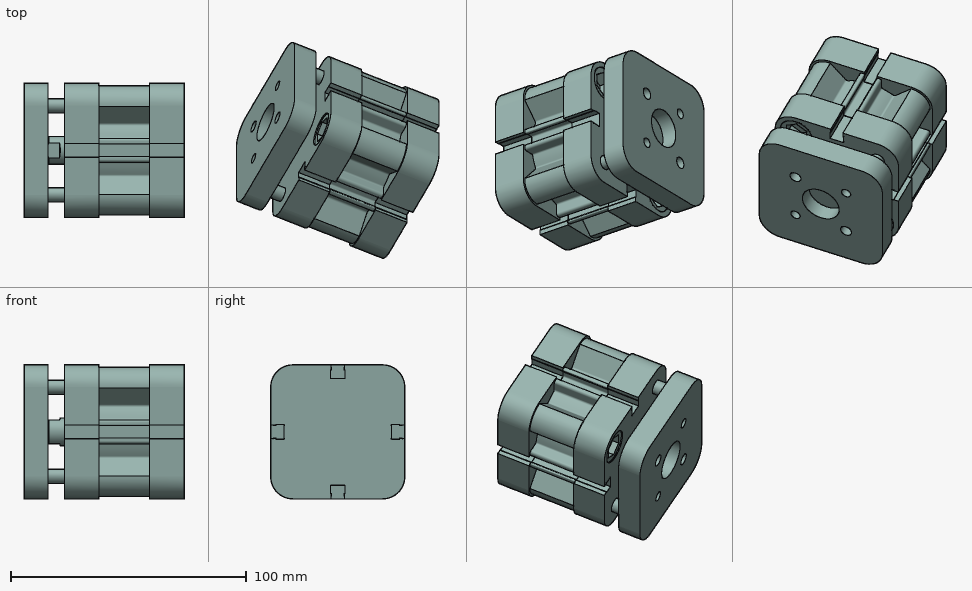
import cadquery as cq
import math


length = 68.0
side = 57.0
half_side = side / 2
side_count = 4
corner_radius = 9.5

plate_thickness = 10.2
front_cap_start = 17.1
tube_start = 31.7
tube_end = 53.1

cap_slot_floor = 22.7
lip_depth = 2.25
cap_mouth_width = 5.7
cap_slot_width = 6.2
tube_slot_floor = 22.45
tube_mouth_width = 5.3
tube_slot_width = 6.3
slot_floor_radius = 0.7

core_radius = 22.6
barrel_centre = 19.0
barrel_radius = 8.5
web_half_width = 6.2
web_fillet = 1.0
rib_width = 10.2
rib_corner_radius = 1.15
rib_base_fillet = 0.8
lip_edge_radius = 0.5
tube_reach = barrel_centre + barrel_radius

piston_diameter = 12.0
flat_across = 10.2
rod_chamfer = 0.3
flat_end = 15.4
flat_shoulder = 0.35
guide_diameter = 6.2
corner_axis = 18.9

screw_head_diameter = 14.55
screw_head_recess = 0.55
socket_across_flats = 9.4
socket_bottom = 6.1

centre_bore = 17.0
centre_bore_depth = 6.8
hole_offset = 11.7
large_hole = 5.0
small_hole = 4.2

edge_tolerance = 0.035

guide_places = [(-corner_axis, corner_axis), (corner_axis, -corner_axis)]
screw_places = [(corner_axis, corner_axis), (-corner_axis, -corner_axis)]


def section(x):
    """Sketch plane across the stroke at x, with local axes Y and Z."""
    return cq.Workplane("YZ", origin=(x, 0, 0))


def rounded_square(x_start, x_end):
    block = section(x_start).rect(side, side).extrude(x_end - x_start)
    return block.edges("|X").fillet(corner_radius)


def round_edges(body, near, far, radius):
    """Round the lengthwise edges lying at (near, far) from the two middle planes, in every octant."""
    def matches(edge):
        centre = edge.Center()
        low, high = sorted((abs(centre.y), abs(centre.z)))
        return math.hypot(low - near, high - far) < edge_tolerance

    return body.edges("|X").filter(matches).fillet(radius)


def cut_slots(body, x_start, x_end, mouth_width, slot_width, slot_floor):
    """Cut the same undercut slot into each of the four sides."""
    run = x_end - x_start
    lip_floor = half_side - lip_depth
    mouth = section(x_start).center(0, (slot_floor + half_side) / 2)
    mouth = mouth.rect(mouth_width, half_side - slot_floor).extrude(run)
    chamber = section(x_start).center(0, (slot_floor + lip_floor) / 2)
    chamber = chamber.rect(slot_width, lip_floor - slot_floor).extrude(run)
    slot = mouth.union(chamber)
    for turn in range(side_count):
        body = body.cut(slot.rotate((0, 0, 0), (1, 0, 0), 360 / side_count * turn))
    return body


def make_cap(x_start, x_end):
    cap = rounded_square(x_start, x_end)
    return cut_slots(cap, x_start, x_end, cap_mouth_width, cap_slot_width, cap_slot_floor)


def make_tube():
    """Round core with barrel-ended corner webs and a slotted rib on each side."""
    run = tube_end - tube_start
    tube = section(tube_start).circle(core_radius).extrude(run)
    barrel_distance = barrel_centre * math.sqrt(2)
    web_reach = barrel_distance + math.sqrt(barrel_radius**2 - web_half_width**2)
    barrel_tip = barrel_distance + barrel_radius
    web = (
        section(tube_start)
        .moveTo(-web_reach, -web_half_width)
        .lineTo(web_reach, -web_half_width)
        .threePointArc((barrel_tip, 0), (web_reach, web_half_width))
        .lineTo(-web_reach, web_half_width)
        .threePointArc((-barrel_tip, 0), (-web_reach, -web_half_width))
        .close()
        .extrude(run)
    )
    for angle in (45, 135):
        tube = tube.union(web.rotate((0, 0, 0), (1, 0, 0), angle))
    for size in ((rib_width, 2 * tube_reach), (2 * tube_reach, rib_width)):
        tube = tube.union(section(tube_start).rect(*size).extrude(run))

    web_base = math.sqrt(core_radius**2 - web_half_width**2)
    tube = round_edges(
        tube,
        (web_base - web_half_width) / math.sqrt(2),
        (web_base + web_half_width) / math.sqrt(2),
        web_fillet,
    )
    rib_half = rib_width / 2
    tube = round_edges(tube, rib_half, math.sqrt(core_radius**2 - rib_half**2), rib_base_fillet)
    tube = round_edges(tube, rib_half, tube_reach, rib_corner_radius)

    tube = cut_slots(tube, tube_start, tube_end, tube_mouth_width, tube_slot_width, tube_slot_floor)
    tube = round_edges(tube, tube_mouth_width / 2, tube_reach, lip_edge_radius)
    return round_edges(tube, tube_slot_width / 2, tube_slot_floor, slot_floor_radius)


def add_screw_sockets(body):
    """Sink the round screw heads slightly into the cap, each with a hexagon socket."""
    heads = section(front_cap_start).pushPoints(screw_places).circle(screw_head_diameter / 2)
    body = body.cut(heads.extrude(screw_head_recess))
    hexagon_diameter = socket_across_flats / math.cos(math.pi / 6)
    socket = section(front_cap_start).polygon(6, hexagon_diameter).extrude(socket_bottom)
    socket = socket.rotate((0, 0, 0), (1, 0, 0), 90)
    for y, z in screw_places:
        body = body.cut(socket.translate((0, y, z)))
    return body


def make_housing():
    housing = make_cap(front_cap_start, tube_start)
    housing = housing.union(make_tube()).union(make_cap(tube_end, length))
    housing = add_screw_sockets(housing)
    rod_depth = tube_start - front_cap_start
    housing = housing.cut(section(front_cap_start).circle(piston_diameter / 2).extrude(rod_depth))
    guides = section(front_cap_start).pushPoints(guide_places).circle(guide_diameter / 2)
    return housing.cut(guides.extrude(rod_depth))


def make_plate():
    plate = rounded_square(0, plate_thickness)
    plate = plate.cut(section(0).circle(centre_bore / 2).extrude(centre_bore_depth))
    for diameter, mirror in ((large_hole, 1), (small_hole, -1)):
        places = [(hole_offset, mirror * hole_offset), (-hole_offset, -mirror * hole_offset)]
        plate = plate.cut(section(0).pushPoints(places).circle(diameter / 2).extrude(plate_thickness))
    return plate


def make_piston_rod():
    """Chamfered piston rod with a pair of wrench flats that end in sloping shoulders."""
    rod = section(plate_thickness).circle(piston_diameter / 2).extrude(tube_start - plate_thickness)
    rod = rod.faces("<X").chamfer(rod_chamfer)
    flat = flat_across / 2
    rim = piston_diameter / 2
    cutter = (
        cq.Workplane("XZ")
        .moveTo(plate_thickness, flat)
        .lineTo(flat_end - flat_shoulder, flat)
        .lineTo(flat_end, rim)
        .lineTo(plate_thickness, rim)
        .close()
        .extrude(rim, both=True)
    )
    return rod.cut(cutter).cut(cutter.mirror("XY"))


def make_guide_rod(y, z):
    rod = section(plate_thickness).center(y, z).circle(guide_diameter / 2)
    return rod.extrude(tube_start - plate_thickness)


housing = make_housing()
plate = make_plate()
piston_rod = make_piston_rod()
guide_rods = [make_guide_rod(y, z) for y, z in guide_places]

result = cq.Compound.makeCompound(
    [housing.val(), plate.val(), piston_rod.val(), *[rod.val() for rod in guide_rods]]
)